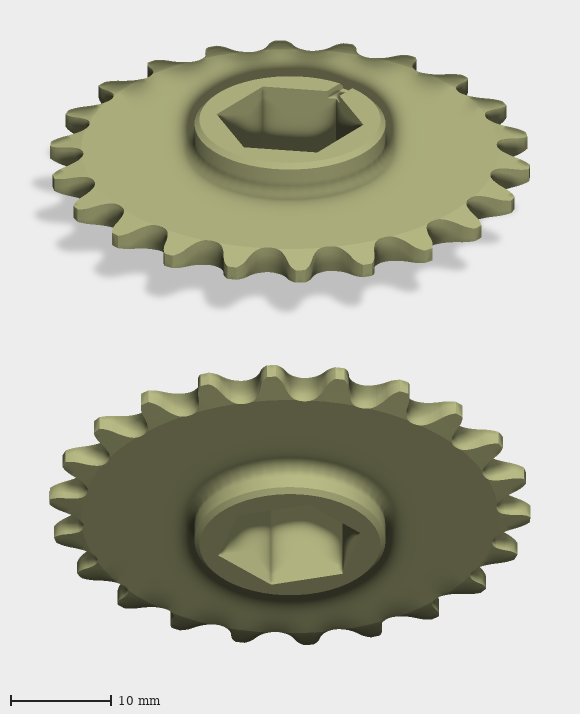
import cadquery as cq
import math

INCH = 25.4

TOOTH_COUNT = 22
CHAIN_PITCH = 0.25 * INCH
ROLLER_DIAMETER = 0.130 * INCH
SEAT_CLEARANCE = 0.0015 * INCH
OUTER_DIAMETER = 47.96

SEAT_DIAMETER_FACTOR = 1.005
WORKING_CENTER_FACTOR = 0.8
TOPPING_CENTER_FACTOR = 1.4
SEAT_ANGLE = 35 + 60 / TOOTH_COUNT
WORKING_SWEEP = 18 - 56 / TOOTH_COUNT

PLATE_THICKNESS = 0.110 * INCH
TIP_THICKNESS = PLATE_THICKNESS / 2
BEVEL_LENGTH = CHAIN_PITCH / 2

HUB_DIAMETER = 0.75 * INCH
HUB_LENGTH = 0.375 * INCH
HUB_CHAMFER = 0.5
HUB_FILLET = 1.0
HEX_ACROSS_FLATS = 12.8

GROOVE_WIDTH = INCH / 16
GROOVE_DEPTH = INCH / 32

HALF_STEP = math.pi / TOOTH_COUNT
PITCH_RADIUS = CHAIN_PITCH / (2 * math.sin(HALF_STEP))
OUTER_RADIUS = OUTER_DIAMETER / 2
HUB_RADIUS = HUB_DIAMETER / 2


def polar(radius, angle, center=(0, 0)):
    """Point at a radius and angle (radians) from a center."""
    return (center[0] + radius * math.cos(angle), center[1] + radius * math.sin(angle))


def tooth_flank():
    """ANSI tooth flank, from the seat bottom to the tooth tip.

    The flank lies in a frame with the roller center at the origin and Y pointing
    radially outward. It is a seat arc, a working arc, a tangent line and a convex
    topping arc. Returns the eight points that define them, in order.
    """
    seat_radius = SEAT_DIAMETER_FACTOR * ROLLER_DIAMETER / 2 + SEAT_CLEARANCE
    seat_angle = math.radians(SEAT_ANGLE)
    working_sweep = math.radians(WORKING_SWEEP)
    normal_angle = working_sweep - seat_angle

    working_offset = WORKING_CENTER_FACTOR * ROLLER_DIAMETER
    working_center = polar(-working_offset, -seat_angle)
    working_radius = seat_radius + working_offset
    topping_center = polar(TOPPING_CENTER_FACTOR * ROLLER_DIAMETER, -HALF_STEP)
    center_gap = (topping_center[0] - working_center[0]) * math.cos(normal_angle)
    center_gap += (topping_center[1] - working_center[1]) * math.sin(normal_angle)
    topping_radius = center_gap - working_radius

    topping_x = topping_center[0]
    topping_y = topping_center[1] + PITCH_RADIUS
    center_distance = math.hypot(topping_x, topping_y)
    cosine = OUTER_RADIUS**2 - center_distance**2 - topping_radius**2
    cosine /= 2 * center_distance * topping_radius
    tip_angle = math.atan2(topping_y, topping_x) + math.acos(cosine)
    line_end_angle = normal_angle + math.pi

    return [
        polar(seat_radius, -math.pi / 2),
        polar(seat_radius, (-math.pi / 2 - seat_angle) / 2),
        polar(seat_radius, -seat_angle),
        polar(working_radius, normal_angle - working_sweep / 2, working_center),
        polar(working_radius, normal_angle, working_center),
        polar(topping_radius, line_end_angle, topping_center),
        polar(topping_radius, (line_end_angle + tip_angle) / 2, topping_center),
        polar(topping_radius, tip_angle, topping_center),
    ]


def make_tooth_outline():
    """Closed outline of all teeth, one tooth gap at a time, clockwise."""
    flank = tooth_flank()
    outline = None

    def place(point, side, gap_angle):
        """Move a flank point (side -1 mirrors it) to the gap at gap_angle."""
        radial = PITCH_RADIUS + point[1]
        sideways = side * point[0]
        return polar(math.hypot(radial, sideways), gap_angle - math.atan2(sideways, radial))

    for index in range(TOOTH_COUNT):
        gap_angle = -(2 * index + 1) * HALF_STEP
        rising = [place(point, 1, gap_angle) for point in flank]
        falling = [place(point, -1, gap_angle - 2 * HALF_STEP) for point in reversed(flank)]
        if outline is None:
            outline = cq.Workplane("XY").moveTo(*rising[0])
        outline = (
            outline.threePointArc(rising[1], rising[2])
            .threePointArc(rising[3], rising[4])
            .lineTo(*rising[5])
            .threePointArc(rising[6], rising[7])
            .threePointArc(polar(OUTER_RADIUS, gap_angle - HALF_STEP), falling[0])
            .threePointArc(falling[1], falling[2])
            .lineTo(*falling[3])
            .threePointArc(falling[4], falling[5])
            .threePointArc(falling[6], falling[7])
        )
    return outline.close()


def make_toothed_plate():
    """Disc with conical side bevels, trimmed to the tooth outline."""
    half = PLATE_THICKNESS / 2
    half_tip = TIP_THICKNESS / 2
    bevel_start = OUTER_RADIUS - BEVEL_LENGTH
    disc = (
        cq.Workplane("XZ")
        .moveTo(0, -half)
        .lineTo(bevel_start, -half)
        .lineTo(OUTER_RADIUS, -half_tip)
        .lineTo(OUTER_RADIUS, half_tip)
        .lineTo(bevel_start, half)
        .lineTo(0, half)
        .close()
        .revolve(360, (0, 0), (0, 1))
    )
    teeth = make_tooth_outline().extrude(PLATE_THICKNESS).translate((0, 0, -half))
    return teeth.intersect(disc)


def make_hub():
    """Chamfered hub, with a fillet on each side where it meets the plate."""
    half = HUB_LENGTH / 2
    plate_half = PLATE_THICKNESS / 2
    fillet_top = plate_half + HUB_FILLET
    root_radius = HUB_RADIUS + HUB_FILLET
    inset = HUB_FILLET * (1 - math.sqrt(0.5))
    chamfer_radius = HUB_RADIUS - HUB_CHAMFER
    return (
        cq.Workplane("XZ")
        .moveTo(0, -half)
        .lineTo(chamfer_radius, -half)
        .lineTo(HUB_RADIUS, HUB_CHAMFER - half)
        .lineTo(HUB_RADIUS, -fillet_top)
        .threePointArc((HUB_RADIUS + inset, -plate_half - inset), (root_radius, -plate_half))
        .lineTo(root_radius, plate_half)
        .threePointArc((HUB_RADIUS + inset, plate_half + inset), (HUB_RADIUS, fillet_top))
        .lineTo(HUB_RADIUS, half - HUB_CHAMFER)
        .lineTo(chamfer_radius, half)
        .lineTo(0, half)
        .close()
        .revolve(360, (0, 0), (0, 1))
    )


def make_bore():
    """Through hexagon with two corners on the Y axis."""
    across_corners = HEX_ACROSS_FLATS / math.cos(math.pi / 6)
    return (
        cq.Workplane("XY")
        .transformed(rotate=(0, 0, 90))
        .polygon(6, across_corners)
        .extrude(HUB_LENGTH)
        .translate((0, 0, -HUB_LENGTH / 2))
    )


def make_groove():
    """Index groove cutter, open to the bore and to the outside of the hub."""
    return (
        cq.Workplane("XY")
        .box(GROOVE_WIDTH, HUB_DIAMETER, GROOVE_DEPTH, centered=(True, False, False))
        .translate((0, 0, HUB_LENGTH / 2 - GROOVE_DEPTH))
    )


result = make_toothed_plate().union(make_hub()).cut(make_bore()).cut(make_groove())